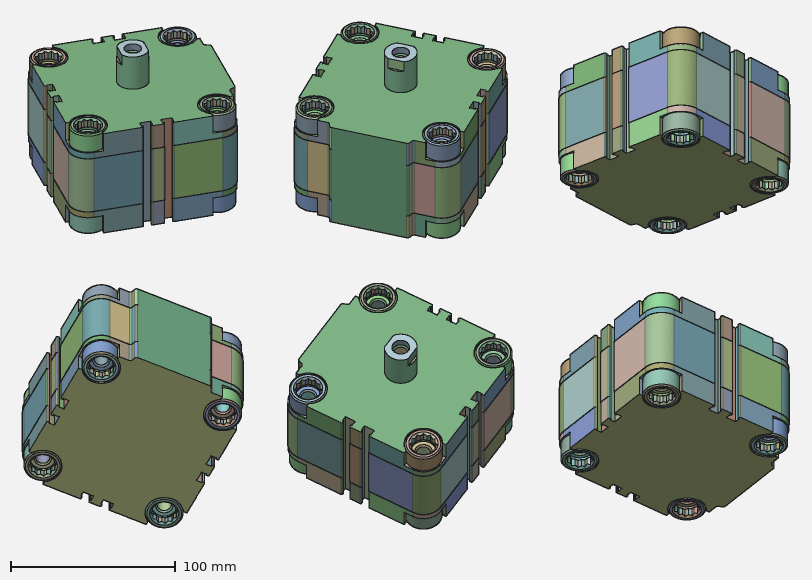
import cadquery as cq
import math

CAP_HEIGHT = 16.5
BARREL_HEIGHT = 38.0
ROD_STICKOUT = 23.0
BARREL_TOP = CAP_HEIGHT + BARREL_HEIGHT
BODY_TOP = BARREL_TOP + CAP_HEIGHT
BODY_MIDDLE = BODY_TOP / 2
ROD_TOP = BODY_TOP + ROD_STICKOUT

BARREL_HALF = 53.5
CAP_HALF = 53.3
SCREW_OFFSET = 41.0

PAD_Y = 57.5
PAD_TOP_HALF_WIDTH = 25.4
PAD_BASE_HALF_WIDTH = 27.0
BARREL_PAD_ROUNDING = 1.2
CAP_PAD_ROUNDING = 1.7

SLOT_SIDES = (-90, 0, 90)
SLOT_OFFSET = 6.8
SLOT_NECK_WIDTH = 5.2
SLOT_WIDTH = 6.9
SLOT_CHAMBER_DEPTH = 3.5
SLOT_FLOOR = 48.0
SLOT_LIP_RADIUS = 0.7

NOTCH_INNER = 34.7
NOTCH_DEPTH = 12.3
HEAD_DIAMETER = 23.0
HEAD_POCKET_DIAMETER = 23.4
HEAD_TOP_DIAMETER = 21.1
HEAD_CHAMFER_HEIGHT = 0.9
SOCKET_MOUTH_DIAMETER = 17.8
SOCKET_MOUTH_ANGLE = 45
SOCKET_TIP_DIAMETER = 16.2
SOCKET_POINTS = 12
SOCKET_STAR_DEPTH = 6.2
SOCKET_FLOOR_DIAMETER = 15.4
SOCKET_DEPTH = 7.9
SCREW_BORE = 8.5
SCREW_COUNTERSINK = 10.5

ROD_DIAMETER = 20.0
FLAT_SPACING = 17.0
FLAT_HEIGHT = 7.0
ROD_MOUTH_DIAMETER = 10.5
ROD_MOUTH_DEPTH = 4.5
ROD_BORE = 8.5
ROD_BORE_DEPTH = 17.8
DRILL_POINT_HALF_ANGLE = 59

SCREW_CENTRES = [(sx * SCREW_OFFSET, sy * SCREW_OFFSET) for sx in (-1, 1) for sy in (-1, 1)]


def cylinder(diameter, bottom, top, x=0, y=0):
    """Upright cylinder between two heights."""
    return cq.Workplane("XY", origin=(x, y, bottom)).circle(diameter / 2).extrude(top - bottom)


def cone(lower_diameter, upper_diameter, bottom, top, x=0, y=0):
    """Upright cone or cone frustum between two heights."""
    solid = cq.Solid.makeCone(
        lower_diameter / 2, upper_diameter / 2, top - bottom, pnt=cq.Vector(x, y, bottom)
    )
    return cq.Workplane(solid)


def slot_necks(face_distance, bottom, height):
    """Cutter for the two slot necks of the -Y side, with lips rounded at the outer face."""
    half_neck = SLOT_NECK_WIDTH / 2
    half_mouth = half_neck + SLOT_LIP_RADIUS
    reach = face_distance - SLOT_FLOOR
    neck = (
        cq.Workplane("XY", origin=(0, -face_distance, bottom))
        .moveTo(-half_mouth, 0)
        .radiusArc((-half_neck, SLOT_LIP_RADIUS), -SLOT_LIP_RADIUS)
        .lineTo(-half_neck, reach)
        .lineTo(half_neck, reach)
        .lineTo(half_neck, SLOT_LIP_RADIUS)
        .radiusArc((half_mouth, 0), -SLOT_LIP_RADIUS)
        .close()
        .extrude(height)
    )
    return neck.translate((-SLOT_OFFSET, 0, 0)).union(neck.translate((SLOT_OFFSET, 0, 0)))


def slot_chambers():
    """Cutter for the two wide slot chambers of the -Y side, over the full body height."""
    return (
        cq.Workplane("XY")
        .pushPoints([
            (side * SLOT_OFFSET, -SLOT_FLOOR - SLOT_CHAMBER_DEPTH / 2) for side in (-1, 1)
        ])
        .rect(SLOT_WIDTH, SLOT_CHAMBER_DEPTH)
        .extrude(BODY_TOP)
    )


def turned(cutter, angle):
    """Turn a cutter made for the -Y side about Z to another side."""
    return cutter.rotate((0, 0, 0), (0, 0, 1), angle)


def profile_block(half, pad_rounding, bottom, height):
    """Rounded square section with the +Y pad and three pairs of slot necks."""
    block = (
        cq.Workplane("XY", origin=(0, 0, bottom))
        .rect(2 * half, 2 * half)
        .extrude(height)
        .edges("|Z")
        .fillet(half - SCREW_OFFSET)
    )
    pad = (
        cq.Workplane("XY", origin=(0, 0, bottom))
        .polyline([
            (-PAD_BASE_HALF_WIDTH, 0),
            (-PAD_BASE_HALF_WIDTH, half),
            (-PAD_TOP_HALF_WIDTH, PAD_Y),
            (PAD_TOP_HALF_WIDTH, PAD_Y),
            (PAD_BASE_HALF_WIDTH, half),
            (PAD_BASE_HALF_WIDTH, 0),
        ])
        .close()
        .extrude(height)
    )
    block = block.union(pad)
    pad_edges = cq.selectors.BoxSelector(
        (-SCREW_OFFSET, SCREW_OFFSET, bottom),
        (SCREW_OFFSET, PAD_Y + pad_rounding, bottom + height),
    )
    block = block.edges("|Z").edges(pad_edges).fillet(pad_rounding)
    for angle in SLOT_SIDES:
        block = block.cut(turned(slot_necks(half, bottom, height), angle))
    return block


def socket(x, y):
    """Cutter for the twelve-point socket and bore of one screw in the top cap."""
    floor = BODY_TOP - SOCKET_DEPTH
    star_bottom = BODY_TOP - SOCKET_STAR_DEPTH
    tip = SOCKET_TIP_DIAMETER / 2
    valley = tip * math.cos(math.radians(30)) / math.cos(math.radians(15))
    points = []
    for i in range(2 * SOCKET_POINTS):
        radius = tip if i % 2 == 0 else valley
        turn = math.pi * i / SOCKET_POINTS
        points.append((radius * math.cos(turn), radius * math.sin(turn)))
    star = (
        cq.Workplane("XY", origin=(x, y, star_bottom))
        .polyline(points)
        .close()
        .extrude(SOCKET_STAR_DEPTH)
    )
    mouth_depth = SOCKET_MOUTH_DIAMETER / 2 / math.tan(math.radians(SOCKET_MOUTH_ANGLE))
    mouth = cone(0, SOCKET_MOUTH_DIAMETER, BODY_TOP - mouth_depth, BODY_TOP, x, y)
    mouth = mouth.intersect(cylinder(SOCKET_MOUTH_DIAMETER, star_bottom, BODY_TOP, x, y))
    recess = cylinder(SOCKET_FLOOR_DIAMETER, floor, star_bottom, x, y)
    countersink_depth = (SCREW_COUNTERSINK - SCREW_BORE) / 2
    countersink = cone(SCREW_BORE, SCREW_COUNTERSINK, floor - countersink_depth, floor, x, y)
    bore = cylinder(SCREW_BORE, BODY_MIDDLE, floor, x, y)
    return star.union(mouth).union(recess).union(countersink).union(bore)


def make_cap():
    """Top cap with its four screw heads, before the sockets are cut."""
    cap = profile_block(CAP_HALF, CAP_PAD_ROUNDING, BARREL_TOP, CAP_HEIGHT)
    chamfer_bottom = BODY_TOP - HEAD_CHAMFER_HEIGHT
    for x, y in SCREW_CENTRES:
        notch_size = CAP_HALF - NOTCH_INNER
        notch_x = math.copysign(NOTCH_INNER + notch_size / 2, x)
        notch_y = math.copysign(NOTCH_INNER + notch_size / 2, y)
        notch = (
            cq.Workplane("XY", origin=(notch_x, notch_y, BODY_TOP - NOTCH_DEPTH))
            .rect(notch_size, notch_size)
            .extrude(NOTCH_DEPTH)
        )
        head = cylinder(HEAD_DIAMETER, BODY_TOP - NOTCH_DEPTH, BODY_TOP, x, y)
        head_rim = cylinder(HEAD_DIAMETER, chamfer_bottom, BODY_TOP, x, y).cut(
            cone(HEAD_DIAMETER, HEAD_TOP_DIAMETER, chamfer_bottom, BODY_TOP, x, y)
        )
        pocket = cylinder(HEAD_POCKET_DIAMETER, BODY_TOP - NOTCH_DEPTH, BODY_TOP, x, y)
        cap = cap.cut(notch).cut(pocket).union(head).cut(head_rim)
    return cap


def make_housing():
    """Barrel between two mirrored caps, with sockets, T-slot chambers and the rod passage."""
    top_cap = make_cap()
    bottom_cap = top_cap.mirror("XY", (0, 0, BODY_MIDDLE))
    housing = profile_block(BARREL_HALF, BARREL_PAD_ROUNDING, CAP_HEIGHT, BARREL_HEIGHT)
    housing = housing.union(top_cap).union(bottom_cap)
    for x, y in SCREW_CENTRES:
        top_socket = socket(x, y)
        housing = housing.cut(top_socket).cut(top_socket.mirror("XY", (0, 0, BODY_MIDDLE)))
    for angle in SLOT_SIDES:
        housing = housing.cut(turned(slot_chambers(), angle))
    return housing.cut(cylinder(ROD_DIAMETER, BARREL_TOP, BODY_TOP))


def make_rod():
    """Rod with two wrench flats and a drilled hole in its end."""
    rod = cylinder(ROD_DIAMETER, BARREL_TOP, ROD_TOP)
    flatted_end = (
        cq.Workplane("XY", origin=(0, 0, ROD_TOP - FLAT_HEIGHT))
        .rect(ROD_DIAMETER, FLAT_SPACING)
        .extrude(FLAT_HEIGHT)
    )
    shank = cylinder(ROD_DIAMETER, BARREL_TOP, ROD_TOP - FLAT_HEIGHT)
    rod = rod.intersect(shank.union(flatted_end))
    mouth_bottom = ROD_TOP - ROD_MOUTH_DEPTH
    bore_bottom = ROD_TOP - ROD_BORE_DEPTH
    taper_depth = (ROD_MOUTH_DIAMETER - ROD_BORE) / 2
    point_depth = ROD_BORE / 2 / math.tan(math.radians(DRILL_POINT_HALF_ANGLE))
    return (
        rod.cut(cylinder(ROD_MOUTH_DIAMETER, mouth_bottom, ROD_TOP))
        .cut(cone(ROD_BORE, ROD_MOUTH_DIAMETER, mouth_bottom - taper_depth, mouth_bottom))
        .cut(cylinder(ROD_BORE, bore_bottom, mouth_bottom))
        .cut(cone(0, ROD_BORE, bore_bottom - point_depth, bore_bottom))
    )


housing = make_housing()
rod = make_rod()

result = cq.Compound.makeCompound([*housing.solids().vals(), *rod.solids().vals()])